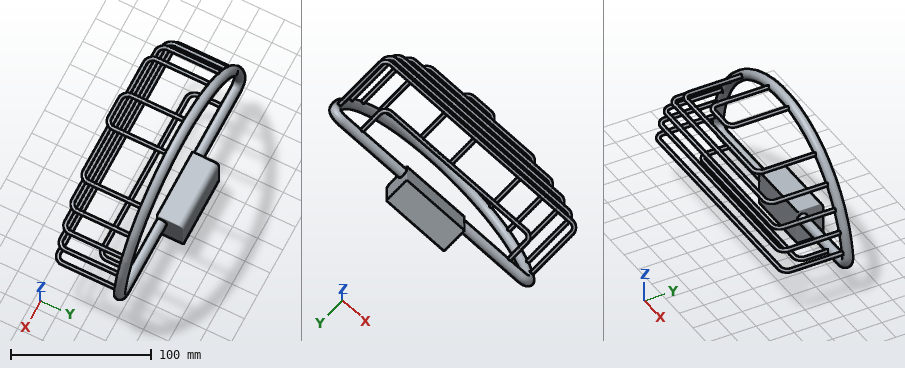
import cadquery as cq
import math

overall_width = 196.3
overall_height = 115.6

block_width = 56.2
block_depth = 21.4
block_height = 27.9
block_drop = 20.8
block_top_rear_radius = 4.0
block_edge_radius = 0.5

tube_radius = 4.02
corner_bend_radius = 7.9

wire_radius = 1.5
wire_bend_radius = 6.0
wire_reach = 49.0
wire_count = 6
lowest_wire_height = 12.8
highest_wire_height = 89.7

guard_wire_height = 0.4
guard_wire_reach = 25.1
guard_wire_half_span = 71.5

corner_x = overall_width / 2 - tube_radius - corner_bend_radius
corner_z = corner_bend_radius
crown_z = overall_height - block_drop - tube_radius
crown_to_corner = crown_z - corner_bend_radius - corner_z
arch_radius = corner_bend_radius + (corner_x**2 + crown_to_corner**2) / (2 * crown_to_corner)
arch_center_z = crown_z - arch_radius


def arch_half_span(height):
    """Half width of the arch axis at a given height."""
    return math.sqrt(arch_radius**2 - (height - arch_center_z) ** 2)


def make_frame():
    """Closed tube: straight bottom, two corner bends and the arch."""
    tangent_angle = math.atan2(corner_z - arch_center_z, corner_x)
    tangent_x = arch_radius * math.cos(tangent_angle)
    tangent_z = arch_center_z + arch_radius * math.sin(tangent_angle)
    middle_angle = (tangent_angle - math.pi / 2) / 2
    middle_x = corner_x + corner_bend_radius * math.cos(middle_angle)
    middle_z = corner_z + corner_bend_radius * math.sin(middle_angle)

    path = (
        cq.Workplane("XZ")
        .moveTo(0, 0)
        .lineTo(corner_x, 0)
        .threePointArc((middle_x, middle_z), (tangent_x, tangent_z))
        .threePointArc((0, crown_z), (-tangent_x, tangent_z))
        .threePointArc((-middle_x, middle_z), (-corner_x, 0))
        .close()
    )
    return cq.Workplane("YZ").circle(tube_radius).sweep(path)


def make_wire(height, half_span, reach):
    """U-shaped wire in a level plane, both ends sunk to the axis of the tube."""
    front_y = -(tube_radius + reach - wire_radius)
    bend_start_y = front_y + wire_bend_radius
    bend_end_x = half_span - wire_bend_radius
    bend_inset = wire_bend_radius * (1 - math.sqrt(0.5))
    bend_middle_x = half_span - bend_inset
    bend_middle_y = front_y + bend_inset

    path = (
        cq.Workplane("XY", origin=(0, 0, height))
        .moveTo(-half_span, 0)
        .lineTo(-half_span, bend_start_y)
        .threePointArc((-bend_middle_x, bend_middle_y), (-bend_end_x, front_y))
        .lineTo(bend_end_x, front_y)
        .threePointArc((bend_middle_x, bend_middle_y), (half_span, bend_start_y))
        .lineTo(half_span, 0)
    )
    section = cq.Workplane("XZ", origin=(-half_span, 0, height)).circle(wire_radius)
    return section.sweep(path)


def make_block():
    """Block flush with the front of the tube, with its side edges softened."""
    block = cq.Workplane("XY").box(
        block_width, block_depth, block_height, centered=(True, False, False)
    )
    block = block.edges(">Y and >Z").fillet(block_top_rear_radius)
    block = block.edges("|Z").fillet(block_edge_radius)
    return block.translate((0, -tube_radius, -block_drop))


result = make_frame().union(make_block())

wire_pitch = (highest_wire_height - lowest_wire_height) / (wire_count - 1)
for index in range(wire_count):
    wire_height = lowest_wire_height + index * wire_pitch
    result = result.union(make_wire(wire_height, arch_half_span(wire_height), wire_reach))

result = result.union(make_wire(guard_wire_height, guard_wire_half_span, guard_wire_reach))